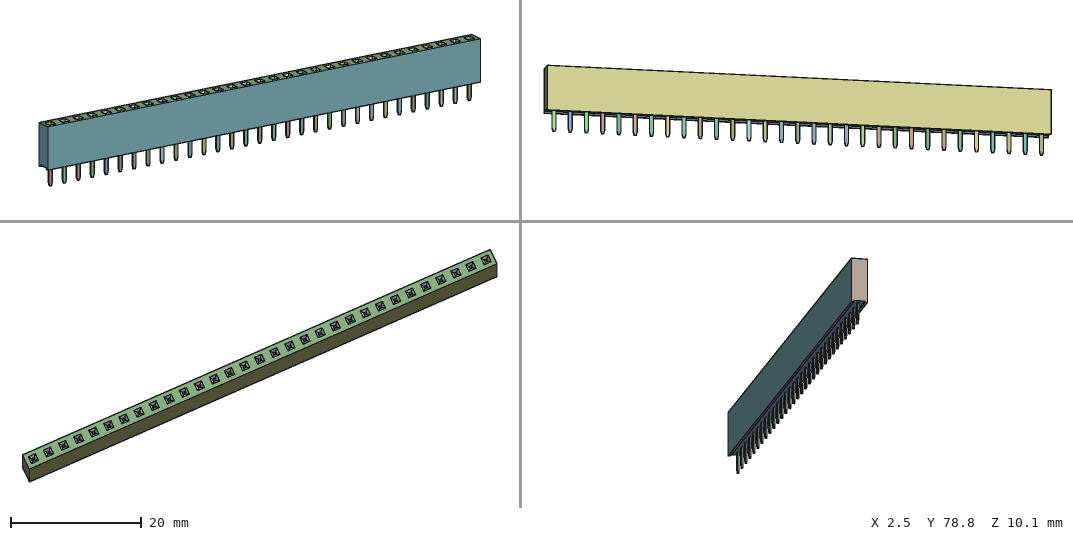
import cadquery as cq

length = 78.75
contact_count = 31
pitch = length / contact_count
width = 2.5
total_height = 10.1
body_height = 7.0

channel_width = 1.7
channel_depth = 0.2

bore_size = 0.425
mouth_depth = 0.385
mouth_size = bore_size + 2 * mouth_depth
bore_depth = 3.9

pin_width = 0.6
pin_thickness = 0.2
pin_length = total_height - body_height
tip_length = 0.55
tip_width = 0.3
pin_embed = 0.15
pin_root = channel_depth + pin_embed

contact_positions = [(i - (contact_count - 1) / 2) * pitch for i in range(contact_count)]


def make_housing():
    """Rectangular strip standing on Z = 0, with the channel cut along its underside."""
    strip = cq.Workplane("XY").box(width, length, body_height, centered=(True, True, False))
    channel = cq.Workplane("XY").box(channel_width, length, channel_depth, centered=(True, True, False))
    return strip.cut(channel)


def make_socket():
    """Cutter for one socket, with its mouth on Z = 0."""
    mouth = (
        cq.Workplane("XY")
        .rect(mouth_size, mouth_size)
        .workplane(offset=-mouth_depth)
        .rect(bore_size, bore_size)
        .loft()
    )
    bore = cq.Workplane("XY").rect(bore_size, bore_size).extrude(-bore_depth)
    return mouth.union(bore)


def make_pin():
    """One solder pin pointing down, with Z = 0 level with the feet of the housing."""
    outline = [
        (-pin_width / 2, pin_root),
        (-pin_width / 2, tip_length - pin_length),
        (-tip_width / 2, -pin_length),
        (tip_width / 2, -pin_length),
        (pin_width / 2, tip_length - pin_length),
        (pin_width / 2, pin_root),
    ]
    return cq.Workplane("YZ").polyline(outline).close().extrude(pin_thickness / 2, both=True)


def at_each_contact(shape, z):
    """Copies of a shape, one per cell, at height z."""
    solid = shape.val()
    copies = [solid.moved(cq.Location(cq.Vector(0, y, z))) for y in contact_positions]
    return cq.Workplane("XY").newObject(copies).combine()


sockets = at_each_contact(make_socket(), body_height)
pins = at_each_contact(make_pin(), 0)
result = make_housing().cut(sockets).union(pins)